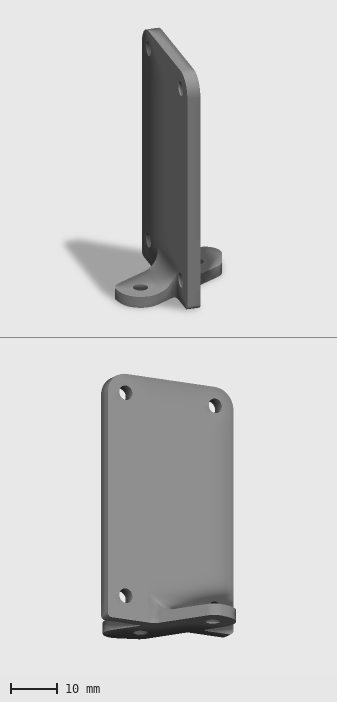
import cadquery as cq
import math

plate_width = 30.95
plate_thickness = 2.95
plate_height = 54.5
top_corner_radius = 4.6
bottom_corner_radius = 1.0

hole_diameter = 3.2
plate_hole_offset = 11.0
plate_hole_heights = (5.25, 50.3)

foot_angle = -60.0
foot_shift = 1.0
foot_width = 10.0
foot_thickness = 2.55
front_reach = 15.6
front_end_slant = 17.6
back_reach = 16.1
back_end_slant = 49.3
front_left_radius = 2.7
front_right_radius = 5.0
back_left_radius = 3.65
back_right_radius = 2.9
front_hole_distance = 10.35
back_hole_distance = 7.65

front_cove_radius = 4.05
back_cove_radius = 1.9
obtuse_front_blend = 2.0
small_blend = 0.65

plate_tilt = 0.6

half_thickness = plate_thickness / 2
half_foot = foot_width / 2
cove_top = foot_thickness + front_cove_radius


def on_foot(along, across):
    """Point in the horizontal plane, from distances along and across the foot."""
    angle = math.radians(foot_angle)
    x = foot_shift + along * math.cos(angle) - across * math.sin(angle)
    y = along * math.sin(angle) + across * math.cos(angle)
    return x, y


def side_crossing(y, side):
    """Where the foot's left (-1) or right (+1) side meets a plate face at y."""
    angle = math.radians(foot_angle)
    along = (y - side * half_foot * math.cos(angle)) / math.sin(angle)
    return on_foot(along, side * half_foot)


def fillet_upright_edge(body, point, radius):
    x, y = point
    edge = cq.selectors.NearestToPointSelector((x, y, cove_top / 2))
    return body.edges("|Z").edges(edge).fillet(radius)


def make_plate():
    plate = cq.Workplane("XY").box(
        plate_width, plate_thickness, plate_height, centered=(True, True, False)
    )
    plate = plate.edges("|Y and >Z").fillet(top_corner_radius)
    return plate.edges("|Y and <Z").fillet(bottom_corner_radius)


def make_foot_blank():
    """Rounded foot outline, crossed by a piece of the plate and blended to it."""
    front_rise = half_foot * math.tan(math.radians(front_end_slant))
    back_rise = half_foot * math.tan(math.radians(back_end_slant))
    rounded_corners = [
        (on_foot(front_reach - front_rise, -half_foot), front_left_radius),
        (on_foot(front_reach + front_rise, half_foot), front_right_radius),
        (on_foot(-back_reach + back_rise, half_foot), back_right_radius),
        (on_foot(-back_reach - back_rise, -half_foot), back_left_radius),
    ]
    outline = [point for point, _ in rounded_corners]
    blank = cq.Workplane("XY").polyline(outline).close().extrude(cove_top)
    for point, radius in rounded_corners:
        blank = fillet_upright_edge(blank, point, radius)

    crossing_width = plate_width - 4 * bottom_corner_radius
    crossing = cq.Workplane("XY").box(
        crossing_width, plate_thickness, cove_top, centered=(True, True, False)
    )
    blank = blank.union(crossing)
    blends = [
        (side_crossing(-half_thickness, -1), obtuse_front_blend),
        (side_crossing(-half_thickness, 1), small_blend),
        (side_crossing(half_thickness, 1), small_blend),
    ]
    for point, radius in blends:
        blank = fillet_upright_edge(blank, point, radius)
    return blank


def make_cove_profile():
    """Side profile: flat foot, with a concave arc up to each plate face."""
    reach = front_reach + back_reach
    arc_inset = 1 - math.sqrt(0.5)
    front_mid = front_cove_radius * arc_inset
    back_mid = back_cove_radius * arc_inset
    profile = (
        cq.Workplane("YZ")
        .moveTo(-reach, 0)
        .lineTo(reach, 0)
        .lineTo(reach, foot_thickness)
        .lineTo(half_thickness + back_cove_radius, foot_thickness)
        .threePointArc(
            (half_thickness + back_mid, foot_thickness + back_mid),
            (half_thickness, foot_thickness + back_cove_radius),
        )
        .lineTo(half_thickness, cove_top)
        .lineTo(-half_thickness, cove_top)
        .threePointArc(
            (-half_thickness - front_mid, foot_thickness + front_mid),
            (-half_thickness - front_cove_radius, foot_thickness),
        )
        .lineTo(-reach, foot_thickness)
        .close()
    )
    return profile.extrude(plate_width, both=True)


def make_holes():
    plate_points = [
        (side * plate_hole_offset, height) for side in (-1, 1) for height in plate_hole_heights
    ]
    foot_points = [on_foot(front_hole_distance, 0), on_foot(-back_hole_distance, 0)]
    plate_holes = (
        cq.Workplane("XZ").pushPoints(plate_points).circle(hole_diameter / 2)
        .extrude(half_thickness, both=True)
    )
    foot_holes = (
        cq.Workplane("XY").pushPoints(foot_points).circle(hole_diameter / 2).extrude(cove_top)
    )
    return plate_holes, foot_holes


foot = make_foot_blank().intersect(make_cove_profile())
bracket = make_plate().union(foot)
for hole_group in make_holes():
    bracket = bracket.cut(hole_group)

result = bracket.rotate((0, 0, 0), (0, 0, 1), plate_tilt)